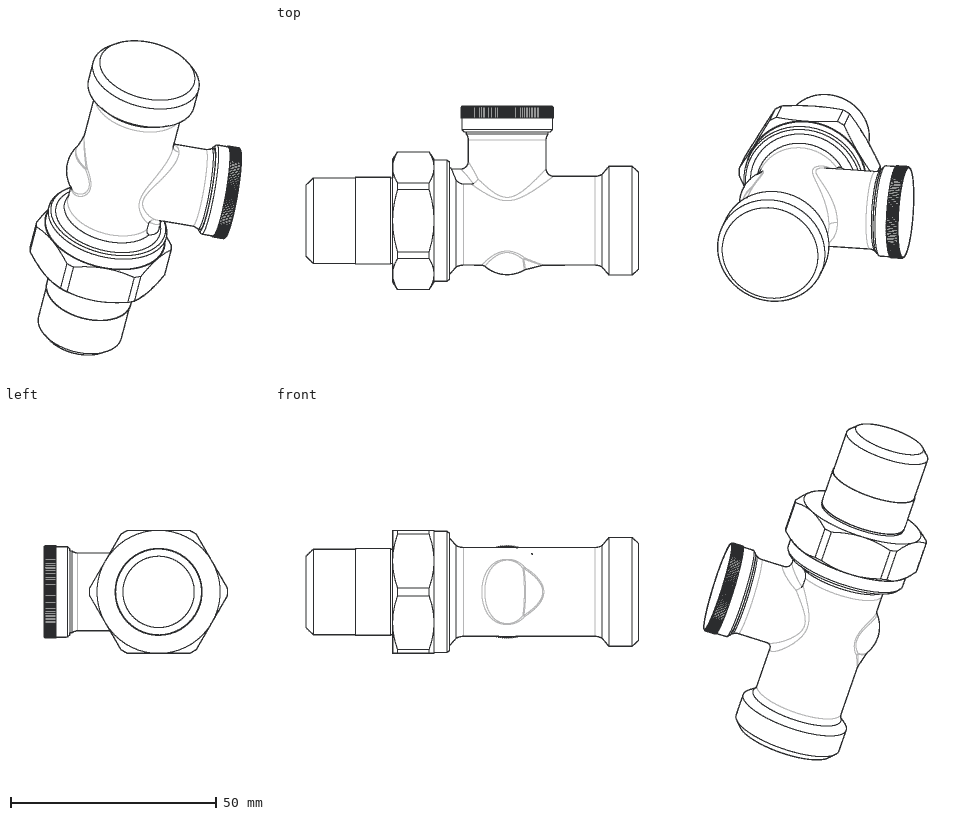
import cadquery as cq
import math

total_length = 81.0
body_radius = 10.85

thread_radius = 10.45
thread_end = 12.1
nipple_tip_radius = 8.7
nipple_chamfer_length = 1.8
shank_radius = 10.6
shank_end = 20.6
neck_groove_radius = 10.45

nut_start = 21.1
nut_end = 31.2
nut_across_flats = 30.0
nut_corner_radius = 16.8
nut_chamfer_length = 1.2

collar_radius = 14.8
collar_rim_radius = 14.3
collar_edge_start = 34.3
collar_end = 35.0
cone_start_radius = 13.1
cone_end = 36.6
cone_end_radius = 11.3
body_start = 38.4

body_end = 70.4
flange_cone_start = 72.1
flange_cone_radius = 11.3
flange_start = 73.8
flange_radius = 13.3
flange_chamfer_start = 79.4
flange_end_radius = 11.85

branch_x = 49.0
branch_radius = 9.5
branch_straight_end = 19.7
branch_flare_end = 21.1
branch_flare_radius = 10.0
cap_rim_radius = 10.5
cap_start = 21.6
cap_full_start = 22.2
cap_radius = 11.05
branch_fillet_radius = 1.8

knurl_start = 25.0
branch_top = 27.92
knurl_radius = 11.25
knurl_depth = 0.3
knurl_tooth_count = 150
knurl_chamfer = 0.3

web_radius = 7.0
web_top = 12.6

dome_radius = 8.2
dome_y = -5.0
runout_start = 52.2
runout_start_radius = 7.6
runout_y = -4.65
runout_slope = 0.25
runout_length = 15.0
boss_fillet_radius = 1.1


def arc_to(profile, start, end):
    """Add an arc from start to end that sags towards the axis by a share of its rise."""
    sag_share = 0.25
    middle_x = (start[0] + end[0]) / 2
    middle_radius = (start[1] + end[1]) / 2 - sag_share * abs(end[1] - start[1])
    return profile.threePointArc((middle_x, middle_radius), end)


def make_run():
    """Nipple, collar, body and flange as one turned solid."""
    profile = (
        cq.Workplane("XY")
        .moveTo(0, 0)
        .lineTo(0, nipple_tip_radius)
        .lineTo(nipple_chamfer_length, thread_radius)
        .lineTo(thread_end, thread_radius)
        .lineTo(thread_end, shank_radius)
        .lineTo(shank_end, shank_radius)
        .lineTo(shank_end, neck_groove_radius)
        .lineTo(nut_start, neck_groove_radius)
        .lineTo(nut_end, neck_groove_radius)
        .lineTo(nut_end, collar_radius)
        .lineTo(collar_edge_start, collar_radius)
        .lineTo(collar_end, collar_rim_radius)
        .lineTo(collar_end, cone_start_radius)
        .lineTo(cone_end, cone_end_radius)
    )
    profile = arc_to(profile, (cone_end, cone_end_radius), (body_start, body_radius))
    profile = profile.lineTo(body_end, body_radius)
    profile = arc_to(profile, (body_end, body_radius), (flange_cone_start, flange_cone_radius))
    profile = (
        profile.lineTo(flange_start, flange_radius)
        .lineTo(flange_chamfer_start, flange_radius)
        .lineTo(total_length, flange_end_radius)
        .lineTo(total_length, 0)
        .close()
    )
    return profile.revolve(360, (0, 0, 0), (1, 0, 0))


def make_nut():
    """Hexagonal prism with its corners rounded and both ends chamfered by a turned envelope."""
    nut_length = nut_end - nut_start
    across_corners = nut_across_flats / math.cos(math.pi / 6)
    face_radius = nut_across_flats / 2
    prism = cq.Workplane("YZ", origin=(nut_start, 0, 0)).polygon(6, across_corners).extrude(nut_length)
    envelope = (
        cq.Workplane("XY")
        .moveTo(nut_start, 0)
        .lineTo(nut_start, face_radius)
        .lineTo(nut_start + nut_chamfer_length, nut_corner_radius)
        .lineTo(nut_end - nut_chamfer_length, nut_corner_radius)
        .lineTo(nut_end, face_radius)
        .lineTo(nut_end, 0)
        .close()
        .revolve(360, (0, 0, 0), (1, 0, 0))
    )
    return prism.intersect(envelope)


def make_branch():
    """Plain branch pipe from the run axis up to the start of its flare."""
    return cq.Workplane("XZ", origin=(branch_x, 0, 0)).circle(branch_radius).extrude(-branch_straight_end)


def make_cap():
    """Flare and smooth cap at the end of the branch, up to the knurl."""
    sag_share = 0.25
    flare_middle = (
        branch_x + branch_radius + sag_share * (branch_flare_radius - branch_radius),
        (branch_straight_end + branch_flare_end) / 2,
    )
    return (
        cq.Workplane("XY")
        .moveTo(branch_x, branch_straight_end)
        .lineTo(branch_x + branch_radius, branch_straight_end)
        .threePointArc(flare_middle, (branch_x + branch_flare_radius, branch_flare_end))
        .lineTo(branch_x + branch_flare_radius, cap_start)
        .lineTo(branch_x + cap_rim_radius, cap_start)
        .lineTo(branch_x + cap_radius, cap_full_start)
        .lineTo(branch_x + cap_radius, knurl_start)
        .lineTo(branch_x, knurl_start)
        .close()
        .revolve(360, (branch_x, 0, 0), (branch_x, 1, 0))
    )


def make_knurl():
    """Ring of fine V-shaped teeth with a chamfered outer edge."""
    half_pitch = math.pi / knurl_tooth_count
    outline = []
    for index in range(2 * knurl_tooth_count):
        radius = knurl_radius - knurl_depth * (index % 2)
        angle = index * half_pitch
        outline.append((radius * math.cos(angle), radius * math.sin(angle)))
    teeth = (
        cq.Workplane("XZ", origin=(branch_x, knurl_start, 0))
        .polyline(outline)
        .close()
        .extrude(knurl_start - branch_top)
    )
    envelope = (
        cq.Workplane("XZ", origin=(branch_x, knurl_start, 0))
        .circle(knurl_radius)
        .extrude(knurl_start - branch_top)
        .faces(">Y")
        .chamfer(knurl_chamfer)
    )
    return teeth.intersect(envelope)


def make_web():
    """Round bar along X whose upper half stands out of the body as an arched web."""
    return (
        cq.Workplane("YZ", origin=(collar_edge_start, web_top - web_radius, 0))
        .circle(web_radius)
        .extrude(branch_x - collar_edge_start)
    )


def make_boss():
    """Dome on the -Y side with a cone that sinks into the body towards +X."""
    dome = cq.Workplane("XY").sphere(dome_radius).translate((branch_x, dome_y, 0))
    runout_end_radius = runout_start_radius - runout_slope * runout_length
    runout = cq.Solid.makeCone(
        runout_start_radius,
        runout_end_radius,
        runout_length,
        cq.Vector(runout_start, runout_y, 0),
        cq.Vector(1, 0, 0),
    )
    return dome.union(cq.Workplane(runout))


def is_freeform(edge):
    """Tell the curved seams between crossing surfaces from straight and circular edges."""
    return edge.geomType() not in ("LINE", "CIRCLE")


def fillet_edges(part, radius, is_wanted):
    """Round the edges of the part that meet the given test."""
    chosen = [edge for edge in part.edges().vals() if is_wanted(edge)]
    return part.newObject([part.val().fillet(radius, chosen)])


def is_boss_seam(edge):
    """The outline of the dome and its cone on the -Y side of the body."""
    return is_freeform(edge) and edge.Center().y < 0


def is_branch_seam(edge):
    """Freeform edges that lie on the branch surface."""
    sample_fractions = (0, 0.3, 0.7, 1)
    samples = [edge.positionAt(fraction) for fraction in sample_fractions]
    tolerance = 0.01
    return is_freeform(edge) and all(
        abs(math.hypot(point.x - branch_x, point.z) - branch_radius) < tolerance and point.y > 0
        for point in samples
    )


run = make_run().union(make_boss())
run = fillet_edges(run, boss_fillet_radius, is_boss_seam)
tee = run.union(make_web()).union(make_branch())
tee = fillet_edges(tee, branch_fillet_radius, is_branch_seam)
result = tee.union(make_nut()).union(make_cap()).union(make_knurl())